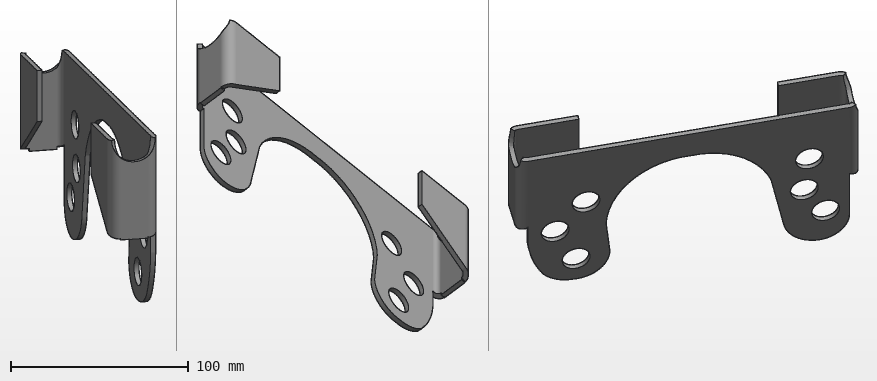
import cadquery as cq
import math

length = 198.0
depth = 28.3
sheet = 3.0
bend_radius = 6.1
overall_height = 104.7

bend_x = length / 2 - bend_radius
bend_y = depth / 2 - bend_radius

wall_height = 57.8
bend_end_height = 57.2
flap_outer_height = 54.6
flap_inner_height = 29.7
flap_end_x = 57.6

notch_radius = 12.7
notch_steps = 8
cutter_reach = 15.8
cutter_overlap = 2.0

opening_top = (-1.2, -17.8)
opening_left_mid = (-33.5, -28.5)
opening_left_end = (-47.5, -49.0)
opening_right_mid = (35.6, -32.5)
opening_right_end = (47.7, -61.8)

left_leg_bottom = (-75.8, -overall_height)
left_leg_outer = (-bend_x, -87.7)
left_leg_outer_mid = (-88.0, -99.5)
left_leg_inner_mid = (-60.8, -98.5)
left_leg_inner = (-54.5, -85.1)

right_leg_bottom = (66.3, -103.2)
right_leg_inner = (45.5, -85.1)
right_leg_inner_mid = (50.9, -97.6)
right_leg_lower_mid = (76.8, -100.8)
right_leg_corner = (84.2, -94.8)
right_leg_outer_mid = (90.5, -81.2)
right_leg_outer = (bend_x, -68.3)

hole_diameter = 16.0
hole_centers = [
    (-69.7, -36.6),
    (-66.7, -61.4),
    (-79.0, -81.4),
    (59.4, -41.4),
    (77.2, -61.4),
    (65.1, -86.5),
]


def front_profile(points):
    """Prism through the whole depth with a straight-sided X, Z outline."""
    return cq.Workplane("XZ").polyline(points).close().extrude(depth, both=True)


def folded_strip():
    """Rounded tube of sheet, cut to the stepped lower edges of the walls and flaps."""
    outer = cq.Workplane("XY").rect(length, depth).extrude(-wall_height)
    outer = outer.edges("|Z").fillet(bend_radius)
    inner = cq.Workplane("XY").rect(length - 2 * sheet, depth - 2 * sheet).extrude(-wall_height)
    inner = inner.edges("|Z").fillet(bend_radius - sheet)
    tube = outer.cut(inner)

    half_outline = [
        (flap_end_x, 0),
        (flap_end_x, -flap_inner_height),
        (bend_x, -flap_outer_height),
        (length / 2, -bend_end_height),
        (length / 2, 0),
    ]
    ends = front_profile(half_outline).union(front_profile([(-x, z) for x, z in half_outline]))
    flat_walls = cq.Workplane("XY").rect(length, 2 * bend_y).extrude(-wall_height)
    return tube.intersect(ends.union(flat_walls))


def back_plate():
    """Flat plate with an arched opening and two rounded legs."""
    outline = (
        cq.Workplane("XZ", origin=(0, depth / 2, 0))
        .moveTo(-bend_x, 0)
        .lineTo(*left_leg_outer)
        .threePointArc(left_leg_outer_mid, left_leg_bottom)
        .threePointArc(left_leg_inner_mid, left_leg_inner)
        .lineTo(*opening_left_end)
        .threePointArc(opening_left_mid, opening_top)
        .threePointArc(opening_right_mid, opening_right_end)
        .lineTo(*right_leg_inner)
        .threePointArc(right_leg_inner_mid, right_leg_bottom)
        .threePointArc(right_leg_lower_mid, right_leg_corner)
        .threePointArc(right_leg_outer_mid, right_leg_outer)
        .lineTo(bend_x, 0)
        .close()
    )
    return outline.extrude(sheet)


def plate_holes():
    return (
        cq.Workplane("XZ", origin=(0, depth / 2, 0))
        .pushPoints(hole_centers)
        .circle(hole_diameter / 2)
        .extrude(sheet)
    )


def wall_notch():
    """Cylinder along X that notches the flat part of both side walls."""
    cylinder = cq.Workplane("YZ").circle(notch_radius).extrude(length, both=True)
    walls = cq.Workplane("XY").rect(2 * length, 2 * bend_y).extrude(-wall_height)
    return cylinder.intersect(walls)


def bend_notch(side_x, side_y):
    """Continue a wall notch around one bend, keeping the cut edge square to the sheet."""
    wires = []
    lowest = math.sqrt(notch_radius**2 - bend_y**2)
    for step in range(notch_steps + 1):
        z = -lowest * step / notch_steps
        half_width = math.sqrt(notch_radius**2 - z**2)
        angle = math.asin(max(0, half_width - bend_y) / bend_radius)
        section = [
            (0, 0),
            (0, -cutter_overlap),
            (cutter_reach, -cutter_overlap),
            (cutter_reach * math.cos(angle), cutter_reach * math.sin(angle)),
        ]
        corners = [
            cq.Vector(side_x * (bend_x + x), side_y * (bend_y + y), z) for x, y in section
        ]
        wires.append(cq.Wire.makePolygon(corners, close=True))
    return cq.Workplane(obj=cq.Solid.makeLoft(wires))


result = folded_strip().union(back_plate()).cut(plate_holes()).cut(wall_notch())
for side_x in (-1, 1):
    for side_y in (-1, 1):
        result = result.cut(bend_notch(side_x, side_y))
result = result.solids()